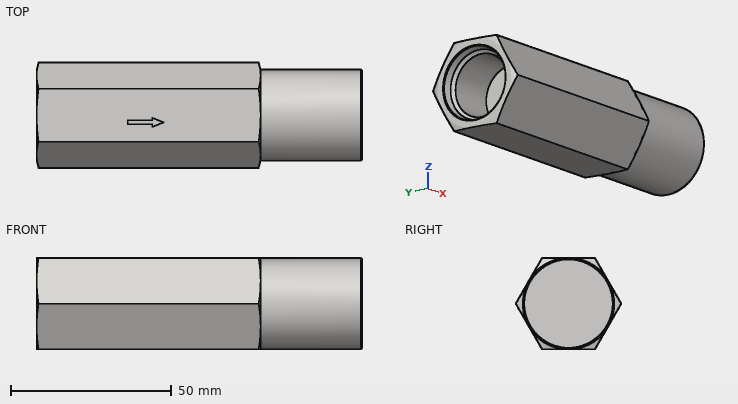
import cadquery as cq
import math

total_length = 101.6
hex_length = 69.85
across_flats = 28.57
across_corners = across_flats / math.cos(math.pi / 6)
body_radius = across_flats / 2

hex_chamfer_angle = math.radians(15)
spigot_chamfer = 0.5

mouth_radius = 12.2
mouth_chamfer = 0.3
seat_end_radius = 11.3
seat_depth = 2.8
bore_radius = 10.2
bore_shoulder_angle = math.radians(45)
bore_depth = 20.0

arrow_tail_x = 28.4
arrow_shoulder_x = 36.1
arrow_tip_x = 39.6
arrow_center_y = -2.25
arrow_shaft_half_width = 0.6
arrow_head_half_width = 1.4
arrow_depth = 0.1


def revolve_about_x(profile):
    """Revolve (x, radius) points a full turn about the X axis."""
    return cq.Workplane("XY").polyline(profile).close().revolve(360, (0, 0, 0), (1, 0, 0))


def make_hex():
    """Hexagonal prism with corners on +Y and -Y, its corners turned off at both ends."""
    prism = cq.Workplane("YZ").polygon(6, across_corners).extrude(hex_length)
    corner_radius = across_corners / 2
    chamfer_length = (corner_radius - body_radius) * math.tan(hex_chamfer_angle)
    envelope = revolve_about_x([
        (0, 0),
        (0, body_radius),
        (chamfer_length, corner_radius),
        (hex_length - chamfer_length, corner_radius),
        (hex_length, body_radius),
        (hex_length, 0),
    ])
    return prism.intersect(envelope)


def make_spigot():
    """Round spigot with a slightly chamfered free end."""
    return revolve_about_x([
        (hex_length, 0),
        (hex_length, body_radius),
        (total_length - spigot_chamfer, body_radius),
        (total_length, body_radius - spigot_chamfer),
        (total_length, 0),
    ])


def make_port():
    """Seal seat, conical shoulder and blind bore as one cutting body."""
    seat_start_radius = mouth_radius - mouth_chamfer
    shoulder_length = (seat_end_radius - bore_radius) / math.tan(bore_shoulder_angle)
    return revolve_about_x([
        (0, 0),
        (0, mouth_radius),
        (mouth_chamfer, seat_start_radius),
        (seat_depth, seat_end_radius),
        (seat_depth + shoulder_length, bore_radius),
        (bore_depth, bore_radius),
        (bore_depth, 0),
    ])


def make_arrow():
    """Arrow pointing along +X, sunk into the top flat."""
    half_outline = [
        (arrow_tail_x, arrow_shaft_half_width),
        (arrow_shoulder_x, arrow_shaft_half_width),
        (arrow_shoulder_x, arrow_head_half_width),
    ]
    mirrored_half = [(x, -y) for x, y in reversed(half_outline)]
    floor = cq.Workplane("XY", origin=(0, arrow_center_y, body_radius - arrow_depth))
    return floor.polyline(half_outline + [(arrow_tip_x, 0)] + mirrored_half).close().extrude(2 * arrow_depth)


result = make_hex().union(make_spigot()).cut(make_port()).cut(make_arrow())